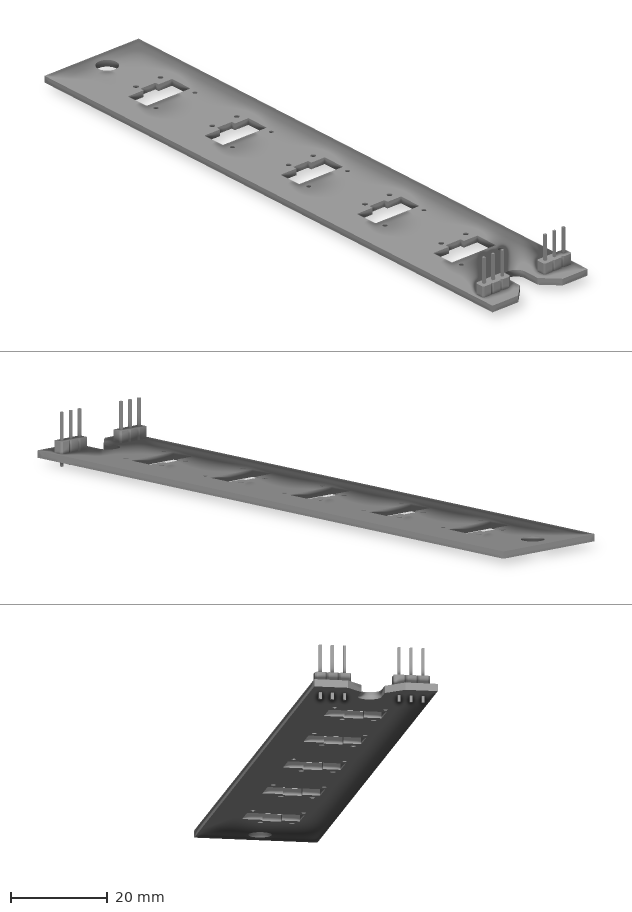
import cadquery as cq

board_length = 141.0
board_width = 26.0
board_thickness = 1.5
lower_end_setback = 0.3

mount_diameter = 5.0
mount_hole_x = -65.6
slot_centre_x = 62.9
slot_mouth_x = 66.9

opening_count = 5
first_opening_x = -49.1
last_opening_x = 46.8
opening_pitch = (last_opening_x - first_opening_x) / (opening_count - 1)
opening_length = 5.8
opening_width = 12.1
opening_centre_y = -0.1
notch_depth = 1.0
notch_width = 4.1
notch_centre_y = 0.1
left_hole_diameter = 1.2
right_hole_diameter = 1.0
upper_left_hole = (-5.1, 4.7)
lower_left_hole = (-5.2, -2.0)
right_hole_x = 5.0
right_hole_y = 5.4

pin_count = 3
pin_pitch = 2.5
pin_side = 0.5
pin_above_block = 6.0
pin_below_board = 1.4
block_height = pin_pitch
block_chamfer = 0.35
header_spacing = 16.5
upper_header_x = 65.5
lower_header_x = 65.0
header_places = [(upper_header_x, header_spacing / 2), (lower_header_x, -header_spacing / 2)]


def pin_places(header_x, header_y):
    """Pin axes of one header, in a row along Y."""
    first_y = header_y - pin_pitch * (pin_count - 1) / 2
    return [(header_x, first_y + i * pin_pitch) for i in range(pin_count)]


def through_board(outline):
    """Extrude an outline on the top face down by the board's thickness."""
    return outline.extrude(-board_thickness)


def make_board_blank():
    """Plate whose right end flares out from the mouth of a round-ended slot."""
    left_x = -board_length / 2
    right_x = board_length / 2
    lower_right_x = right_x - lower_end_setback
    half_width = board_width / 2
    slot_half = mount_diameter / 2
    upper_flare_y = slot_half + (right_x - slot_mouth_x)
    lower_flare_y = -slot_half - (lower_right_x - slot_mouth_x)
    outline = (
        cq.Workplane("XY")
        .moveTo(left_x, -half_width)
        .lineTo(lower_right_x, -half_width)
        .lineTo(lower_right_x, lower_flare_y)
        .lineTo(slot_mouth_x, -slot_half)
        .lineTo(slot_centre_x, -slot_half)
        .threePointArc((slot_centre_x - slot_half, 0), (slot_centre_x, slot_half))
        .lineTo(slot_mouth_x, slot_half)
        .lineTo(right_x, upper_flare_y)
        .lineTo(right_x, half_width)
        .lineTo(left_x, half_width)
        .close()
    )
    return through_board(outline)


def make_opening_cutter(centre_x):
    """One notched rectangular opening together with its four small holes."""
    plane = cq.Workplane("XY", origin=(centre_x, 0, 0))
    window = through_board(plane.center(0, opening_centre_y).rect(opening_length, opening_width))
    notch_length = opening_length / 2 + notch_depth
    notch = through_board(plane.center(-notch_length / 2, notch_centre_y).rect(notch_length, notch_width))
    left_hole_places = [upper_left_hole, lower_left_hole]
    left_holes = through_board(plane.pushPoints(left_hole_places).circle(left_hole_diameter / 2))
    right_hole_places = [(right_hole_x, right_hole_y), (right_hole_x, -right_hole_y)]
    right_holes = through_board(plane.pushPoints(right_hole_places).circle(right_hole_diameter / 2))
    return window.union(notch).union(left_holes).union(right_holes)


def make_board():
    """Board with its mounting hole, openings and matching holes for the pins."""
    plane = cq.Workplane("XY")
    board = make_board_blank()
    board = board.cut(through_board(plane.center(mount_hole_x, 0).circle(mount_diameter / 2)))
    for i in range(opening_count):
        board = board.cut(make_opening_cutter(first_opening_x + i * opening_pitch))
    for header_x, header_y in header_places:
        places = pin_places(header_x, header_y)
        board = board.cut(through_board(plane.pushPoints(places).rect(pin_side, pin_side)))
    return board


def make_header(header_x, header_y):
    """Row of octagonal block segments on the board, with a square pin through each."""
    pin_bottom = -board_thickness - pin_below_board
    pin_length = block_height + pin_above_block - pin_bottom
    places = pin_places(header_x, header_y)
    header = (
        cq.Workplane("XY", origin=(0, 0, pin_bottom))
        .pushPoints(places)
        .rect(pin_side, pin_side)
        .extrude(pin_length)
    )
    for x, y in places:
        segment = (
            cq.Workplane("XY", origin=(x, y, 0))
            .rect(pin_pitch, pin_pitch)
            .extrude(block_height)
            .edges("|Z")
            .chamfer(block_chamfer)
        )
        header = header.union(segment)
    return header


board = make_board()
headers = [make_header(header_x, header_y) for header_x, header_y in header_places]

result = cq.Compound.makeCompound([board.val(), *[header.val() for header in headers]])